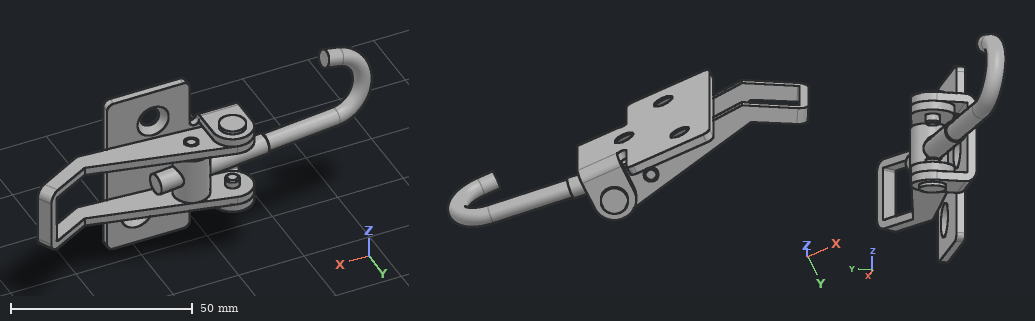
import cadquery as cq
import math


SHEET = 2.5
BEND_INNER_R = 0.48
BEND_OUTER_R = BEND_INNER_R + SHEET
EAR_R = 6.0

ARM_GAP = 14.9
ARM_INNER_Z = ARM_GAP / 2
ARM_OUTER_Z = ARM_INNER_Z + SHEET
KNEE_TOP = (43.4, -3.6)
KNEE_BOTTOM = (43.2, -9.2)
GRIP_ANGLE = 28.5
TIP_TOP = (57.1, 3.7)

PLATE_FRONT_Y = -11.1
PLATE_BACK_Y = PLATE_FRONT_Y + SHEET
PLATE_HEIGHT = 50.0
PLATE_LEFT_X = 8.9
PLATE_RIGHT_X = 34.2
PLATE_CORNER_R = 2.0
EAR_OUTER_Z = ARM_OUTER_Z + SHEET
BEND_START_Z = EAR_OUTER_Z - BEND_OUTER_R
HOLE_D = 5.5
HOLE_LAND = 0.5
ACCESS_HOLE_X = 8.1
MOUNT_HOLE_Z = 15.0
UPPER_HOLE_X = 20.1
LOWER_HOLE_X = 25.1
HOLE_POINTS = [(ACCESS_HOLE_X, 0), (UPPER_HOLE_X, MOUNT_HOLE_Z), (LOWER_HOLE_X, -MOUNT_HOLE_Z)]

PIN_D = 4.0
PIN_CHAMFER = 0.5
RIVET_HEAD_D = 7.5
RIVET_HEAD_HEIGHT = 1.0
RIVET_TAIL_Z = 5.0

BARREL_X = 11.9
BARREL_Y = -1.5
BARREL_D = 10.5
BARREL_LENGTH = 14.3
COUNTERSINK_D = 7.2

ROD_ANGLE = 6.2
HOOK_TILT = 6.0
ROD_D = 5.3
SHANK_D = 6.0
SHANK_TAIL = 11.5
SHANK_LENGTH = 35.0
ROD_LENGTH = 46.7
HOOK_BEND_R = 9.4
HOOK_SWEEP = 166.0
HOOK_TIP_LENGTH = 4.8


def tangent_point(point, side):
    """Point where a line from `point` touches the ear circle; side +1 or -1 picks which line."""
    angle = math.atan2(point[1], point[0]) + side * math.acos(EAR_R / math.hypot(*point))
    return (EAR_R * math.cos(angle), EAR_R * math.sin(angle))


def z_cylinder(x, y, diameter, z_low, z_high):
    """Cylinder parallel to Z."""
    return cq.Workplane("XY", origin=(x, y, z_low)).circle(diameter / 2).extrude(z_high - z_low)


def pin_holes(x, y):
    """Cutter for aligned pin holes through every sheet along Z."""
    return z_cylinder(x, y, PIN_D, -EAR_OUTER_Z, EAR_OUTER_Z)


def make_lever():
    grip = math.radians(GRIP_ANGLE)
    along = (math.cos(grip), math.sin(grip))
    reach = (TIP_TOP[0] - KNEE_BOTTOM[0]) * along[0] + (TIP_TOP[1] - KNEE_BOTTOM[1]) * along[1]
    tip_bottom = (KNEE_BOTTOM[0] + reach * along[0], KNEE_BOTTOM[1] + reach * along[1])
    side = (
        cq.Workplane("XY", origin=(0, 0, -ARM_OUTER_Z))
        .moveTo(*tangent_point(KNEE_TOP, 1))
        .threePointArc((-EAR_R, 0), tangent_point(KNEE_BOTTOM, -1))
        .lineTo(*KNEE_BOTTOM)
        .lineTo(*tip_bottom)
        .lineTo(*TIP_TOP)
        .lineTo(*KNEE_TOP)
        .close()
        .extrude(2 * ARM_OUTER_Z)
    )
    back = 2 * TIP_TOP[0]
    tip_plane = cq.Plane(
        origin=(*TIP_TOP, 0), xDir=(*along, 0), normal=(-along[1], along[0], 0)
    )

    def rounded_block(end, half_width, radius):
        """Block reaching back from `end`, measured from the tip, with rounded end corners."""
        return (
            cq.Workplane(tip_plane)
            .moveTo(end - back, half_width)
            .lineTo(end - radius, half_width)
            .radiusArc((end, half_width - radius), radius)
            .lineTo(end, radius - half_width)
            .radiusArc((end - radius, -half_width), radius)
            .lineTo(end - back, -half_width)
            .close()
            .extrude(back, both=True)
        )

    outer = rounded_block(0, ARM_OUTER_Z, BEND_OUTER_R)
    inner = rounded_block(-SHEET, ARM_INNER_Z, BEND_INNER_R)
    lever = side.intersect(outer).cut(inner)
    return lever.cut(pin_holes(0, 0)).cut(pin_holes(BARREL_X, BARREL_Y))


def make_ears():
    """Channel with its web in front and two round-ended ears outside the lever arms."""
    channel_depth = EAR_R - PLATE_FRONT_Y

    def channel_block(half_height, depth, radius):
        return (
            cq.Workplane("XZ", origin=(0, EAR_R, 0))
            .rect(2 * EAR_R, 2 * half_height)
            .extrude(depth)
            .edges("|X and <Y")
            .fillet(radius)
        )

    outside = channel_block(EAR_OUTER_Z, channel_depth, BEND_OUTER_R)
    inside = channel_block(ARM_OUTER_Z, channel_depth - SHEET, BEND_INNER_R)
    ear_outline = (
        cq.Workplane("XY", origin=(0, 0, -EAR_OUTER_Z))
        .moveTo(-EAR_R, PLATE_FRONT_Y)
        .lineTo(EAR_R, PLATE_FRONT_Y)
        .lineTo(EAR_R, 0)
        .threePointArc((0, EAR_R), (-EAR_R, 0))
        .close()
        .extrude(2 * EAR_OUTER_Z)
    )
    return outside.cut(inside).intersect(ear_outline)


def make_plate():
    """Mounting plate with the neck that joins it to the ears."""
    back_face = cq.Workplane("XZ", origin=(0, PLATE_BACK_Y, 0))
    plate = (
        back_face.center((PLATE_LEFT_X + PLATE_RIGHT_X) / 2, 0)
        .rect(PLATE_RIGHT_X - PLATE_LEFT_X, PLATE_HEIGHT)
        .extrude(SHEET)
        .edges("|Y")
        .fillet(PLATE_CORNER_R)
    )
    relief_r = (PLATE_LEFT_X - EAR_R) / 2
    relief_x = EAR_R + relief_r
    neck_z = BEND_START_Z + relief_r
    neck = back_face.center(relief_x, 0).rect(2 * relief_r, 2 * neck_z).extrude(SHEET)
    relief_points = [(relief_x, neck_z), (relief_x, -neck_z)]
    reliefs = back_face.pushPoints(relief_points).circle(relief_r).extrude(SHEET)
    return plate.union(neck.cut(reliefs))


def countersunk_hole(x, z):
    """Cutter for a plate hole with a 90 degree countersink opening to the back."""
    sink_end_r = HOLE_D / 2 + SHEET - HOLE_LAND
    return (
        cq.Workplane("XY")
        .lineTo(HOLE_D / 2, 0)
        .lineTo(HOLE_D / 2, HOLE_LAND)
        .lineTo(sink_end_r, SHEET)
        .lineTo(0, SHEET)
        .close()
        .revolve(360, (0, 0, 0), (0, 1, 0))
        .translate((x, PLATE_FRONT_Y, z))
    )


def make_bracket():
    bracket = make_ears().union(make_plate()).cut(pin_holes(0, 0))
    for x, z in HOLE_POINTS:
        bracket = bracket.cut(countersunk_hole(x, z))
    return bracket


def make_rivet(side):
    """Rivet through one ear and one lever arm; side is +1 for the upper one, -1 for the lower."""
    shank = z_cylinder(0, 0, PIN_D, RIVET_TAIL_Z, EAR_OUTER_Z).faces("<Z").chamfer(PIN_CHAMFER)
    head = z_cylinder(0, 0, RIVET_HEAD_D, EAR_OUTER_Z, EAR_OUTER_Z + RIVET_HEAD_HEIGHT)
    rivet = shank.union(head)
    return rivet if side > 0 else rivet.mirror("XY")


def rod_plane():
    """Plane of the hook: x runs along the rod toward the hook, y toward the hook's tip."""
    a = math.radians(ROD_ANGLE)
    t = math.radians(HOOK_TILT)
    rod = cq.Vector(-math.cos(a), -math.sin(a), 0)
    up = cq.Vector(math.sin(a) * math.sin(t), -math.cos(a) * math.sin(t), math.cos(t))
    return cq.Plane(origin=(BARREL_X, BARREL_Y, 0), xDir=rod, normal=rod.cross(up))


def rod_section(diameter, distance):
    """Circle across the rod at a distance from the barrel axis."""
    plane = rod_plane()
    center = plane.toWorldCoords((distance, 0, 0))
    return cq.Workplane(cq.Plane(origin=center, xDir=plane.zDir, normal=plane.xDir)).circle(diameter / 2)


def rod_cylinder(diameter, start, end):
    """Cylinder along the rod between two distances from the barrel axis."""
    return rod_section(diameter, start).extrude(end - start)


def make_barrel():
    half = BARREL_LENGTH / 2
    body = z_cylinder(BARREL_X, BARREL_Y, BARREL_D, -half, half)
    journals = z_cylinder(BARREL_X, BARREL_Y, PIN_D, -ARM_OUTER_Z, ARM_OUTER_Z)
    journals = journals.faces("<Z or >Z").chamfer(PIN_CHAMFER)
    bore = rod_cylinder(SHANK_D, -BARREL_D, BARREL_D)
    depth = (COUNTERSINK_D - SHANK_D) / 2
    plane = rod_plane()
    countersink = cq.Solid.makeCone(
        SHANK_D / 2,
        SHANK_D / 2 + 2 * depth,
        2 * depth,
        pnt=plane.toWorldCoords((BARREL_D / 2 - depth, 0, 0)),
        dir=plane.xDir,
    )
    return body.union(journals).cut(bore).cut(cq.Workplane(countersink))


def make_hook():
    shank_end = SHANK_LENGTH - SHANK_TAIL
    shank = rod_cylinder(SHANK_D, -SHANK_TAIL, shank_end)

    def on_bend(degrees):
        angle = math.radians(degrees)
        return (ROD_LENGTH + HOOK_BEND_R * math.sin(angle), HOOK_BEND_R * (1 - math.cos(angle)))

    end = on_bend(HOOK_SWEEP)
    sweep = math.radians(HOOK_SWEEP)
    tip = (end[0] + HOOK_TIP_LENGTH * math.cos(sweep), end[1] + HOOK_TIP_LENGTH * math.sin(sweep))
    path = (
        cq.Workplane(rod_plane())
        .moveTo(shank_end, 0)
        .lineTo(ROD_LENGTH, 0)
        .threePointArc(on_bend(HOOK_SWEEP / 2), end)
        .lineTo(*tip)
    )
    rod = rod_section(ROD_D, shank_end).sweep(path)
    return shank.union(rod)


bracket = make_bracket()
lever = make_lever()
rivets = [make_rivet(side) for side in (1, -1)]
barrel = make_barrel()
hook = make_hook()

result = cq.Compound.makeCompound(
    [bracket.val(), lever.val(), *[rivet.val() for rivet in rivets], barrel.val(), hook.val()]
)